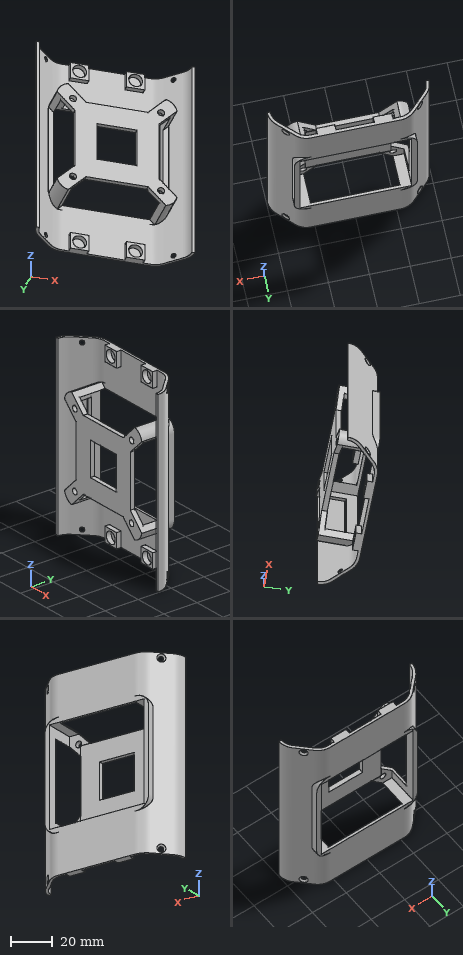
import cadquery as cq
import math

LENGTH = 105.0
WIDTH = 79.2
DEPTH = 19.8

SHEET = 1.6
SLANT = 45
FLAT_HALF = 22.0
BEND = 10.0

FRAME_HALF = 30.0
FRAME_CORNER = 7.0
FRAME_WALL = 2.7
SIDE_BAR_DEPTH = 5.6

PLATE_SIDE = 42.0
PLATE_THICKNESS = 2.6
WINDOW_SIDE = 20.0
ARM_WIDTH = 7.9
ARM_THICKNESS = 2.8
MOUNT_HOLE = 3.4
MOUNT_PITCH = 44.0

BLOCK_WIDTH = 9.1
BLOCK_HEIGHT = 8.8
BLOCK_PROJECTION = 2.7
BLOCK_X = 14.0
POCKET = 6.8
POCKET_DEPTH = 2.9
POCKET_TO_END = 4.3

SCREW_HOLE = 2.4
COUNTERSINK = 4.3
COUNTERSINK_DEPTH = 0.9
SCREW_X = 32.9
SCREW_TO_END = 2.8

FRAME_SIDE = 2 * FRAME_HALF
OPENING = FRAME_SIDE - 2 * FRAME_WALL
MARGIN = 1.0

BACK_CENTER = (FLAT_HALF, -BEND)
LIP_CENTER_X = WIDTH / 2 - BEND
LIP_CENTER_Y = -BEND - (LIP_CENTER_X - FLAT_HALF) * math.tan(math.radians(SLANT))
LIP_CENTER = (LIP_CENTER_X, LIP_CENTER_Y)


def prism(size_x, size_z, depth, back_y=0.0):
    """Box centred on the Y axis that runs from back_y toward -Y."""
    return cq.Workplane("XY").box(size_x, depth, size_z).translate((0, back_y - depth / 2, 0))


def on_bend(center, radius, turned):
    """Point on a bend where the sheet has turned by that many degrees from the flat back."""
    angle = math.radians(turned)
    return (center[0] + radius * math.sin(angle), center[1] + radius * math.cos(angle))


def shell_side(inset):
    """Solid below the sheet face that lies inset from the outer face, for X >= 0."""
    radius = BEND - inset
    return (
        cq.Workplane("XY", origin=(0, 0, -LENGTH / 2))
        .moveTo(0, LIP_CENTER[1])
        .lineTo(0, -inset)
        .lineTo(FLAT_HALF, -inset)
        .threePointArc(on_bend(BACK_CENTER, radius, SLANT / 2), on_bend(BACK_CENTER, radius, SLANT))
        .lineTo(*on_bend(LIP_CENTER, radius, SLANT))
        .threePointArc(on_bend(LIP_CENTER, radius, (SLANT + 90) / 2), on_bend(LIP_CENTER, radius, 90))
        .close()
        .extrude(LENGTH)
    )


def make_shell():
    half = shell_side(0).cut(shell_side(SHEET))
    return half.union(half.mirror("YZ"))


def frame_prism(depth):
    return prism(FRAME_SIDE, FRAME_SIDE, depth).edges("|Y").fillet(FRAME_CORNER)


def diagonal_cross(depth, back_y=0.0):
    """Two crossed bars along the diagonals of the frame."""
    bar = prism(2 * FRAME_SIDE, ARM_WIDTH, depth, back_y)
    origin = (0, 0, 0)
    y_axis = (0, 1, 0)
    return bar.rotate(origin, y_axis, 45).union(bar.rotate(origin, y_axis, -45))


def make_frame():
    """Rim level with the flat back, side bars, and a leg at each corner."""
    opening = prism(OPENING, OPENING, DEPTH)
    rim = frame_prism(SHEET).cut(opening)
    bars = frame_prism(SIDE_BAR_DEPTH).cut(prism(OPENING, FRAME_SIDE, DEPTH))
    legs = frame_prism(DEPTH).cut(opening).intersect(diagonal_cross(DEPTH))
    return rim.union(bars).union(legs)


def make_plate():
    plate = prism(PLATE_SIDE, PLATE_SIDE, PLATE_THICKNESS, PLATE_THICKNESS - DEPTH)
    arms = diagonal_cross(ARM_THICKNESS, ARM_THICKNESS - DEPTH).intersect(frame_prism(DEPTH))
    arms = arms.cut(prism(PLATE_SIDE, PLATE_SIDE, DEPTH))
    window = prism(WINDOW_SIDE, WINDOW_SIDE, DEPTH)
    return plate.union(arms).cut(window)


def mount_holes():
    return (
        cq.Workplane("XZ", origin=(0, ARM_THICKNESS - DEPTH, 0))
        .rarray(MOUNT_PITCH, MOUNT_PITCH, 2, 2)
        .circle(MOUNT_HOLE / 2)
        .extrude(ARM_THICKNESS + MARGIN)
    )


def make_blocks():
    pitch_z = LENGTH - BLOCK_HEIGHT
    return (
        cq.Workplane("XZ")
        .rarray(2 * BLOCK_X, pitch_z, 2, 2)
        .rect(BLOCK_WIDTH, BLOCK_HEIGHT)
        .extrude(SHEET + BLOCK_PROJECTION)
    )


def block_pockets():
    pitch_z = LENGTH - 2 * POCKET_TO_END
    return (
        cq.Workplane("XZ", origin=(0, POCKET_DEPTH - SHEET - BLOCK_PROJECTION, 0))
        .rarray(2 * BLOCK_X, pitch_z, 2, 2)
        .circle(POCKET / 2)
        .extrude(POCKET_DEPTH + MARGIN)
    )


def screw_hole(side, end):
    """Countersunk hole square to the slanted sheet."""
    slant = math.radians(SLANT)
    slant_x, slant_y = on_bend(BACK_CENTER, BEND, SLANT)
    outer_y = slant_y - (SCREW_X - slant_x) * math.tan(slant)
    entry = cq.Vector(side * SCREW_X, outer_y, end * (LENGTH / 2 - SCREW_TO_END))
    inward = cq.Vector(-side * math.sin(slant), -math.cos(slant), 0)
    bore = cq.Solid.makeCylinder(SCREW_HOLE / 2, SHEET + MARGIN, entry, inward)
    countersink = cq.Solid.makeCone(COUNTERSINK / 2, SCREW_HOLE / 2, COUNTERSINK_DEPTH, entry, inward)
    return bore.fuse(countersink)


result = make_shell().cut(frame_prism(DEPTH))
result = result.union(make_frame()).union(make_plate()).cut(mount_holes())
result = result.union(make_blocks()).cut(block_pockets())
for side in (-1, 1):
    for end in (-1, 1):
        result = result.cut(cq.Workplane(screw_hole(side, end)))